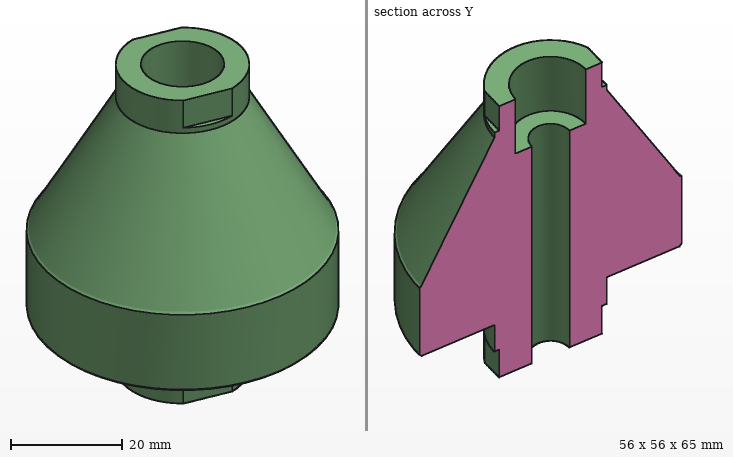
import cadquery as cq

total_height = 65.0
body_diameter = 56.0
neck_diameter = 24.0
body_bottom = 13.0
body_top = 29.9
cone_top = 58.0
lower_chamfer = 0.5
upper_chamfer = 0.4

flat_width = 22.0
lower_flat_height = 6.6
upper_flat_height = 5.85

bore_diameter = 14.95
bore_depth = 13.0
through_diameter = 8.0

body_radius = body_diameter / 2
neck_radius = neck_diameter / 2


def revolved_body():
    """Solid of revolution: lower neck, drum with chamfered rims, cone and upper neck."""
    return (
        cq.Workplane("XZ")
        .moveTo(0, 0)
        .lineTo(neck_radius, 0)
        .lineTo(neck_radius, body_bottom)
        .lineTo(body_radius - lower_chamfer, body_bottom)
        .lineTo(body_radius, body_bottom + lower_chamfer)
        .lineTo(body_radius, body_top - upper_chamfer)
        .lineTo(body_radius - upper_chamfer, body_top)
        .lineTo(neck_radius, cone_top)
        .lineTo(neck_radius, total_height)
        .lineTo(0, total_height)
        .close()
        .revolve(360, (0, 0, 0), (0, 1, 0))
    )


def wrench_flats(base_z, height):
    """Material to remove for a pair of flats facing -X and +X."""
    envelope = cq.Workplane("XY").box(neck_diameter, neck_diameter, height, centered=(True, True, False))
    core = cq.Workplane("XY").box(flat_width, neck_diameter, height, centered=(True, True, False))
    return envelope.cut(core).translate((0, 0, base_z))


result = revolved_body()
result = result.cut(wrench_flats(0, lower_flat_height))
result = result.cut(wrench_flats(total_height - upper_flat_height, upper_flat_height))

result = result.faces(">Z").workplane(origin=(0, 0, total_height)).cboreHole(
    through_diameter, bore_diameter, bore_depth
)